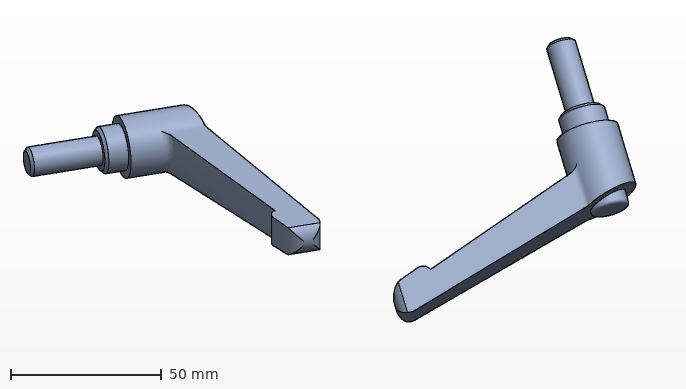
import cadquery as cq
import math

overall_length = 88.6

hub_radius = 21.2 / 2
hub_back_height = 21.7
collar_radius = 8.0
collar_length = 8.0
stud_radius = 10.0 / 2
stud_length = 25.0
end_chamfer = 1.1
button_radius = 6.6
button_top = 28.0
button_rounding = 1.1

tip_x = overall_length - hub_radius
top_angle = 16.0
underside_angle = 20.0
notch_x = 63.7
notch_y = 33.2
bump_end_x = 67.7
bump_end_y = 31.5
tip_top_radius = 4.25
tip_bottom_radius = 6.2

arm_half_width_at_axis = 7.8
arm_half_width_at_tip = 5.2
tip_side_x = 75.1

crown_at_axis = 0.8
crown_at_notch = 0.13

root_fillet = 2.7

top_slope = math.tan(math.radians(top_angle))
underside_slope = math.tan(math.radians(underside_angle))


def top_y(x):
    """Height of the sloping top face shared by hub and arm."""
    return hub_back_height + (x + hub_radius) * top_slope


def underside_y(x):
    """Height of the lowest line along the underside of the arm."""
    return notch_y + (x - notch_x) * underside_slope


def cylinder(radius, start_y, length):
    """Cylinder about Y reaching from start_y towards +Y."""
    return cq.Workplane("XZ", origin=(0, start_y, 0)).circle(radius).extrude(-length)


def make_hub():
    blank = cylinder(hub_radius, 0, top_y(hub_radius))
    side = (
        cq.Workplane("XY")
        .moveTo(-hub_radius, 0)
        .lineTo(hub_radius, 0)
        .lineTo(hub_radius, top_y(hub_radius))
        .lineTo(-hub_radius, hub_back_height)
        .close()
        .extrude(hub_radius, both=True)
    )
    return blank.intersect(side)


def make_arm_side():
    """Side outline of the arm, extruded across the full hub width."""
    tip_bottom_y = bump_end_y + (tip_x - bump_end_x) * underside_slope
    outline = (
        cq.Workplane("XY")
        .moveTo(0, top_y(0))
        .lineTo(tip_x, top_y(tip_x))
        .lineTo(tip_x, tip_bottom_y)
        .lineTo(bump_end_x, bump_end_y)
        .tangentArcPoint((notch_x, notch_y), relative=False)
        .lineTo(0, underside_y(0))
        .close()
        .extrude(hub_radius, both=True)
    )
    top_corner = cq.NearestToPointSelector((tip_x, top_y(tip_x), 0))
    bottom_corner = cq.NearestToPointSelector((tip_x, tip_bottom_y, 0))
    return outline.edges(top_corner).fillet(tip_top_radius).edges(bottom_corner).fillet(tip_bottom_radius)


def make_arm_plan():
    """Tapered plan of the arm with its rounded tip, extruded through the full height."""
    plan = (
        cq.Workplane("XZ")
        .moveTo(0, -arm_half_width_at_axis)
        .lineTo(tip_side_x, -arm_half_width_at_tip)
        .threePointArc((tip_x, 0), (tip_side_x, arm_half_width_at_tip))
        .lineTo(0, arm_half_width_at_axis)
        .close()
    )
    return plan.extrude(-top_y(tip_x))


def relief_section(x, crown):
    """Section of the underside relief at one station: an arc above, closed by a flat below."""
    lowest = underside_y(x)
    left = cq.Vector(x, lowest + crown, -arm_half_width_at_axis)
    middle = cq.Vector(x, lowest, 0)
    right = cq.Vector(x, lowest + crown, arm_half_width_at_axis)
    low_right = cq.Vector(x, lowest - crown, arm_half_width_at_axis)
    low_left = cq.Vector(x, lowest - crown, -arm_half_width_at_axis)
    return cq.Wire.assembleEdges([
        cq.Edge.makeThreePointArc(left, middle, right),
        cq.Edge.makeLine(right, low_right),
        cq.Edge.makeLine(low_right, low_left),
        cq.Edge.makeLine(low_left, left),
    ])


def make_underside_relief():
    """Cutter that leaves the underside crowned, with its lowest line at Z = 0."""
    sections = [relief_section(0, crown_at_axis), relief_section(notch_x, crown_at_notch)]
    return cq.Workplane(cq.Solid.makeLoft(sections, True))


def make_arm():
    return make_arm_side().intersect(make_arm_plan()).cut(make_underside_relief())


def blend_root(body):
    """Fillet the arm into the hub along its underside and both flanks."""
    near_root = cq.selectors.BoxSelector(
        (0, underside_y(0), -arm_half_width_at_axis),
        (hub_radius + root_fillet, top_y(0), arm_half_width_at_axis),
    )
    return body.edges(near_root).fillet(root_fillet)


collar = cylinder(collar_radius, -collar_length, collar_length).faces("<Y").chamfer(end_chamfer)
stud = cylinder(stud_radius, -collar_length - stud_length, stud_length).faces("<Y").chamfer(end_chamfer)
button = cylinder(button_radius, 0, button_top).faces(">Y").edges().fillet(button_rounding)

lever = blend_root(make_hub().union(make_arm()))
result = lever.union(collar).union(stud).union(button)